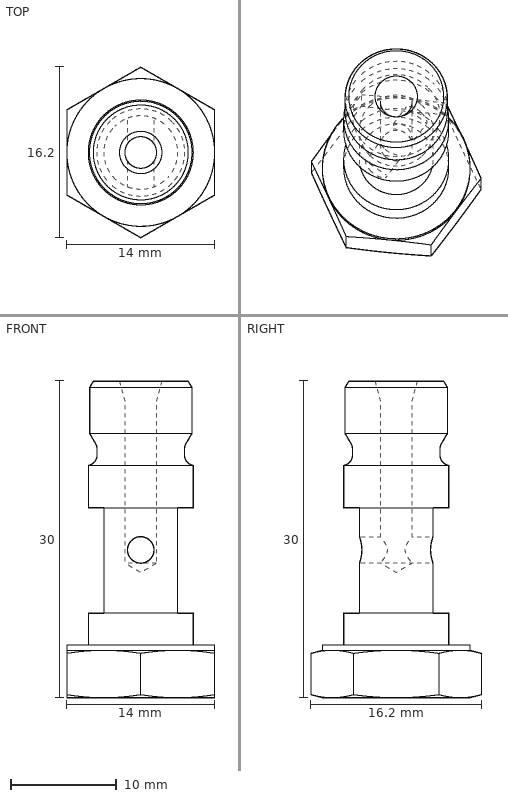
import cadquery as cq
import math

head_flats = 14.0
head_corner_radius = head_flats / math.sqrt(3)
head_height = 5.0
washer_face_height = 0.5
head_chamfer_angle = math.radians(15)

collar_radius = 9.95 / 2
neck_radius = 7.0 / 2
thread_radius = 9.72 / 2
lower_collar_top = 8.0
upper_collar_bottom = 18.0
upper_collar_top = 22.02
total_height = 30.0
tip_radius = 4.5
tip_chamfer_height = 0.6

relief_radius = 8.3 / 2
relief_round = 1.0
relief_land = 0.57
relief_slope = math.radians(30)

bore_diameter = 3.0
bore_mouth_diameter = 4.02
bore_mouth_depth = 1.85
drill_point_angle = math.radians(118)
cross_hole_diameter = 2.5
cross_hole_height = 14.0


def make_head():
    """Hexagon with both corner chamfers and a round washer face on top."""
    washer_radius = head_flats / 2
    hex_top = head_height - washer_face_height
    corner_drop = (head_corner_radius - washer_radius) * math.tan(head_chamfer_angle)
    hexagon = (
        cq.Workplane("XY")
        .polygon(6, 2 * head_corner_radius)
        .extrude(hex_top)
        .rotate((0, 0, 0), (0, 0, 1), 30)
    )
    chamfer_envelope = (
        cq.Workplane("XZ")
        .polyline([
            (0, 0),
            (washer_radius, 0),
            (head_corner_radius, corner_drop),
            (head_corner_radius, hex_top - corner_drop),
            (washer_radius, hex_top),
            (0, hex_top),
        ])
        .close()
        .revolve(360, (0, 0), (0, 1))
    )
    washer_face = (
        cq.Workplane("XY")
        .workplane(offset=hex_top)
        .circle(washer_radius)
        .extrude(washer_face_height)
    )
    return hexagon.intersect(chamfer_envelope).union(washer_face)


def relief_arc_point(center_height, angle):
    """Point (radius, height) on a groove round, at an angle from its innermost point."""
    return (
        relief_radius + relief_round * (1 - math.cos(angle)),
        center_height + relief_round * math.sin(angle),
    )


def make_shank():
    """Revolved profile of collars, neck, relief groove and thread."""
    lower_arc_angle = math.acos(1 - (collar_radius - relief_radius) / relief_round)
    land_bottom = upper_collar_top + relief_round * math.sin(lower_arc_angle)
    land_top = land_bottom + relief_land
    slope_start = relief_arc_point(land_top, relief_slope)
    thread_bottom = slope_start[1] + (thread_radius - slope_start[0]) / math.tan(relief_slope)
    return (
        cq.Workplane("XZ")
        .moveTo(0, head_height)
        .lineTo(collar_radius, head_height)
        .lineTo(collar_radius, lower_collar_top)
        .lineTo(neck_radius, lower_collar_top)
        .lineTo(neck_radius, upper_collar_bottom)
        .lineTo(collar_radius, upper_collar_bottom)
        .lineTo(collar_radius, upper_collar_top)
        .threePointArc(relief_arc_point(land_bottom, -lower_arc_angle / 2), (relief_radius, land_bottom))
        .lineTo(relief_radius, land_top)
        .threePointArc(relief_arc_point(land_top, relief_slope / 2), slope_start)
        .lineTo(thread_radius, thread_bottom)
        .lineTo(thread_radius, total_height - tip_chamfer_height)
        .lineTo(tip_radius, total_height)
        .lineTo(0, total_height)
        .close()
        .revolve(360, (0, 0), (0, 1))
    )


def make_bore():
    """Blind bore with a flared mouth, reaching the bottom of the cross hole plus a drill point."""
    bore_radius = bore_diameter / 2
    bore_bottom = cross_hole_height - cross_hole_diameter / 2
    drill_tip = bore_bottom - bore_radius / math.tan(drill_point_angle / 2)
    return (
        cq.Workplane("XZ")
        .polyline([
            (0, drill_tip),
            (bore_radius, bore_bottom),
            (bore_radius, total_height - bore_mouth_depth),
            (bore_mouth_diameter / 2, total_height),
            (0, total_height),
        ])
        .close()
        .revolve(360, (0, 0), (0, 1))
    )


def make_cross_hole():
    """Hole along Y through the whole neck."""
    return (
        cq.Workplane("XZ")
        .center(0, cross_hole_height)
        .circle(cross_hole_diameter / 2)
        .extrude(collar_radius, both=True)
    )


result = make_head().union(make_shank()).cut(make_bore()).cut(make_cross_hole())